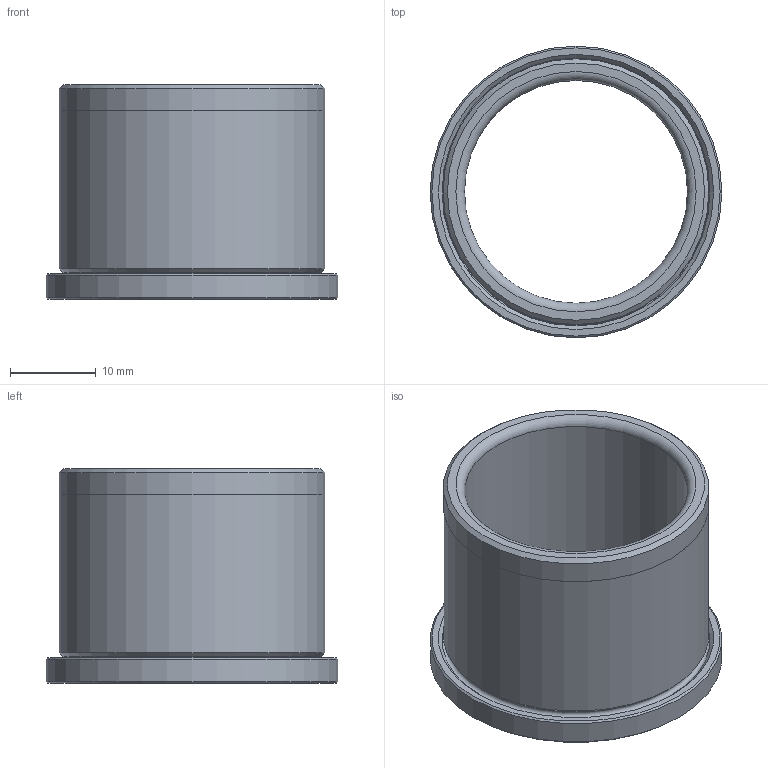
import cadquery as cq
import math

TOTAL_HEIGHT = 25.0
BORE_RADIUS = 13.0
BORE_MOUTH_FILLET = 1.0

FLANGE_RADIUS = 17.0
FLANGE_HEIGHT = 3.0
FLANGE_EDGE_BREAK = 0.2

SLEEVE_RADIUS = 15.5
LEAD_IN_LENGTH = 3.0
LEAD_IN_RELIEF = 0.01
LEAD_IN_CHAMFER_HEIGHT = 0.45
LEAD_IN_CHAMFER_WIDTH = 0.5

UNDERCUT_RADIUS = 0.38
UNDERCUT_DEPTH = 0.6


def flanged_sleeve():
    """Solid of revolution of the flange, sleeve and lead-in."""
    lead_in_radius = SLEEVE_RADIUS - LEAD_IN_RELIEF
    outline = [
        (0, 0),
        (FLANGE_RADIUS - FLANGE_EDGE_BREAK, 0),
        (FLANGE_RADIUS, FLANGE_EDGE_BREAK),
        (FLANGE_RADIUS, FLANGE_HEIGHT - FLANGE_EDGE_BREAK),
        (FLANGE_RADIUS - FLANGE_EDGE_BREAK, FLANGE_HEIGHT),
        (SLEEVE_RADIUS, FLANGE_HEIGHT),
        (SLEEVE_RADIUS, TOTAL_HEIGHT - LEAD_IN_LENGTH),
        (lead_in_radius, TOTAL_HEIGHT - LEAD_IN_LENGTH),
        (lead_in_radius, TOTAL_HEIGHT - LEAD_IN_CHAMFER_HEIGHT),
        (lead_in_radius - LEAD_IN_CHAMFER_WIDTH, TOTAL_HEIGHT),
        (0, TOTAL_HEIGHT),
    ]
    return cq.Workplane("XZ").polyline(outline).close().revolve(360, (0, 0, 0), (0, 1, 0))


def cut_undercut(body):
    """Groove around the root of the sleeve: parallel 45-degree walls and a half-round bottom."""
    diagonal = math.sqrt(0.5)

    def profile_point(along, across):
        """Point at a distance along the groove (outward positive) and across it (upward positive)."""
        radius = SLEEVE_RADIUS + diagonal * (along - across)
        height = FLANGE_HEIGHT + diagonal * (along + across)
        return (radius, height)

    wall_start = UNDERCUT_RADIUS - UNDERCUT_DEPTH
    wall_end = UNDERCUT_RADIUS
    groove = (
        cq.Workplane("XZ")
        .moveTo(*profile_point(wall_end, UNDERCUT_RADIUS))
        .lineTo(*profile_point(wall_start, UNDERCUT_RADIUS))
        .threePointArc(profile_point(-UNDERCUT_DEPTH, 0), profile_point(wall_start, -UNDERCUT_RADIUS))
        .lineTo(*profile_point(wall_end, -UNDERCUT_RADIUS))
        .close()
        .revolve(360, (0, 0, 0), (0, 1, 0))
    )
    return body.cut(groove)


def cut_bore(body):
    """Bore right through, with a rounded mouth at the top."""
    bore = cq.Workplane("XY").circle(BORE_RADIUS).extrude(TOTAL_HEIGHT)
    mouth = cq.selectors.RadiusNthSelector(0)
    return body.cut(bore).faces(">Z").edges(mouth).fillet(BORE_MOUTH_FILLET)


sleeve = flanged_sleeve()
undercut_sleeve = cut_undercut(sleeve)
result = cut_bore(undercut_sleeve)